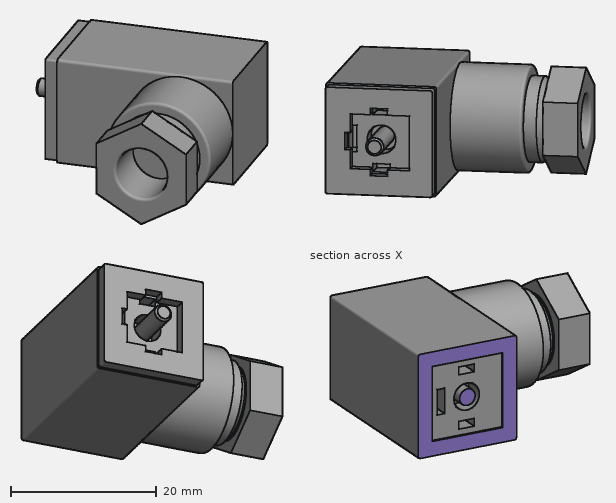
import cadquery as cq

housing_length = 25.5
housing_size = 15.5
housing_fillet = 0.4

cover_thickness = 1.8
cover_size = 15.0
cover_fillet = 0.3
cover_face_x = -cover_thickness

window_depth = 1.6
cavity_height = 0.5
cavity_size = 11.0
socket_floor_x = cover_face_x + window_depth + cavity_height
window_y_max = 4.0
window_y_min = -4.3
window_height = 7.7

notch_width = 2.4
notch_reach = 4.75
slot_inner = 3.45
slot_outer = 4.6
slot_depth = 3.0
wide_slot_width = 3.75

pin_diameter = 2.5
pin_projection = 3.4
pin_chamfer = 0.3
bore_diameter = 4.0
bore_depth = 3.0

outlet_diameter = 15.0
outlet_length = 10.0
outlet_fillet = 0.4
outlet_x = housing_length - outlet_diameter / 2
outlet_end_y = -housing_size / 2 - outlet_length

neck_diameter = 12.0
neck_length = 2.8
neck_straight_length = 1.8
neck_chamfer = 0.75

nut_sides = 6
nut_across_corners = outlet_diameter
nut_length = 4.9
cable_hole_diameter = 7.4
cable_hole_fillet = 0.4
cable_hole_depth = nut_length + neck_length


def along_x(start_x):
    """Workplane facing +X, with local x along Y and local y along Z."""
    return cq.Workplane("YZ", origin=(start_x, 0, 0))


def towards_minus_y(start_y):
    """Workplane on the outlet axis facing -Y, with local x along X and local y along Z."""
    return cq.Workplane("XZ", origin=(outlet_x, start_y, 0))


def make_housing():
    housing = along_x(0).rect(housing_size, housing_size).extrude(housing_length)
    housing = housing.edges("|X").fillet(housing_fillet)
    cover = along_x(cover_face_x).rect(cover_size, cover_size).extrude(cover_thickness)
    return housing.union(cover.edges("|X").fillet(cover_fillet))


def make_recess(start_x, inner, outer, width, depth, angle):
    """Rectangular cutter from radius inner to outer, turned about the X axis from +Y."""
    cutter = along_x(start_x).center((inner + outer) / 2, 0).rect(outer - inner, width).extrude(depth)
    return cutter.rotate((0, 0, 0), (1, 0, 0), angle)


def cut_socket(body):
    body = body.cut(
        along_x(cover_face_x)
        .center((window_y_min + window_y_max) / 2, 0)
        .rect(window_y_max - window_y_min, window_height)
        .extrude(window_depth)
    )
    cavity_x = cover_face_x + window_depth
    body = body.cut(along_x(cavity_x).rect(cavity_size, cavity_size).extrude(cavity_height))
    for angle, slot_width in ((0, wide_slot_width), (90, notch_width), (-90, notch_width)):
        body = body.cut(make_recess(cover_face_x, slot_inner, notch_reach, notch_width, window_depth, angle))
        body = body.cut(make_recess(socket_floor_x, slot_inner, slot_outer, slot_width, slot_depth, angle))
    return body.cut(along_x(socket_floor_x).circle(bore_diameter / 2).extrude(bore_depth))


def make_pin():
    tip_x = cover_face_x - pin_projection
    length = socket_floor_x + bore_depth - tip_x
    pin = along_x(tip_x).circle(pin_diameter / 2).extrude(length)
    return pin.faces("<X").chamfer(pin_chamfer)


def make_outlet():
    """Outlet cylinder, rooted on the housing axis so that it joins the block solidly."""
    root_length = housing_size / 2
    outlet = towards_minus_y(0).circle(outlet_diameter / 2).extrude(root_length + outlet_length)
    return outlet.faces("<Y").edges().fillet(outlet_fillet)


def make_neck():
    shoulder_length = neck_straight_length + neck_chamfer
    shoulder = towards_minus_y(outlet_end_y).circle(neck_diameter / 2).extrude(shoulder_length)
    shoulder = shoulder.faces("<Y").chamfer(neck_chamfer)
    core_radius = neck_diameter / 2 - neck_chamfer
    core = towards_minus_y(outlet_end_y).circle(core_radius).extrude(neck_length)
    return shoulder.union(core)


def make_nut():
    nut = towards_minus_y(outlet_end_y - neck_length).polygon(nut_sides, nut_across_corners).extrude(nut_length)
    corner_turn = 180 / nut_sides
    return nut.rotate((outlet_x, 0, 0), (outlet_x, 1, 0), corner_turn)


def cut_cable_hole(body):
    mouth_y = outlet_end_y - neck_length - nut_length
    bottom_y = mouth_y + cable_hole_depth
    body = body.cut(towards_minus_y(bottom_y).circle(cable_hole_diameter / 2).extrude(cable_hole_depth))
    return body.faces("<Y").edges("%CIRCLE").fillet(cable_hole_fillet)


connector = cut_socket(make_housing()).union(make_pin())
connector = connector.union(make_outlet()).union(make_neck()).union(make_nut())
result = cut_cable_hole(connector)